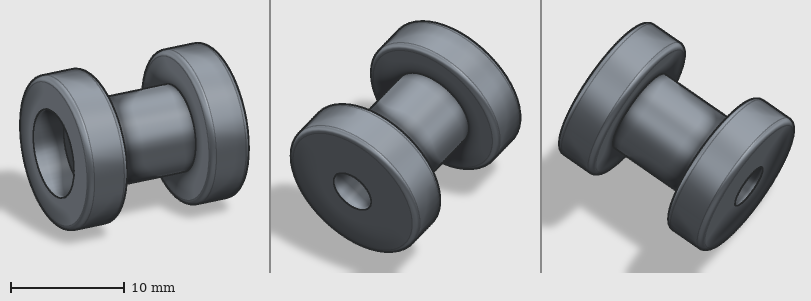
import cadquery as cq

length = 16.0
flange_diameter = 14.0
flange_width = 3.94
edge_radius = 0.5
hub_diameter = 7.94
bore_diameter = 4.1
recess_diameter = 8.0
recess_depth = 3.0

front_y = -length / 2


def cylinder(diameter, start_y, depth):
    """Solid cylinder running toward +Y from start_y."""
    plane = cq.Workplane("XZ", origin=(0, start_y, 0))
    return plane.circle(diameter / 2).extrude(-depth)


def flange(start_y):
    """Wheel-like end disc with both rims rounded."""
    return cylinder(flange_diameter, start_y, flange_width).edges().fillet(edge_radius)


spool = cylinder(hub_diameter, front_y + flange_width / 2, length - flange_width)
for start_y in (front_y, length / 2 - flange_width):
    spool = spool.union(flange(start_y))

bore = cylinder(bore_diameter, front_y, length)
recess = cylinder(recess_diameter, front_y, recess_depth)

result = spool.cut(bore).cut(recess)